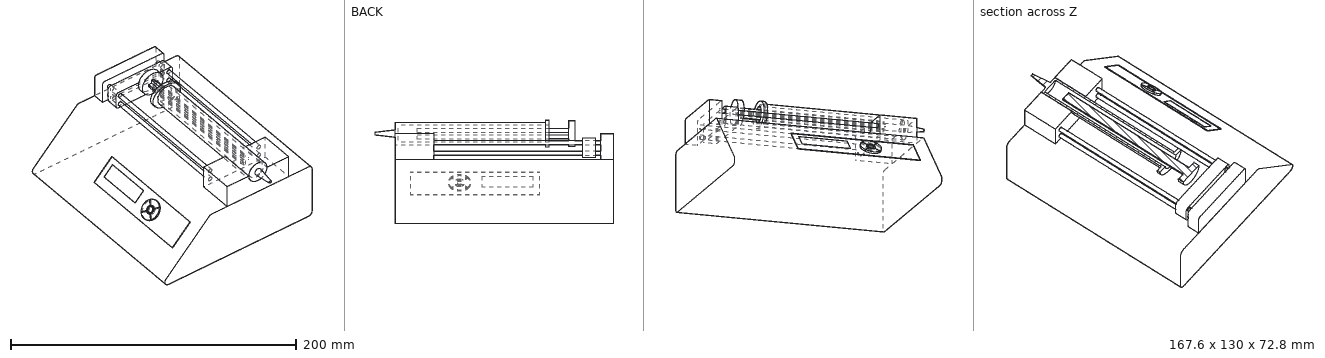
import cadquery as cq
import math


HOUSING_LENGTH = 153.4
HOUSING_DEPTH = 130.0
HOUSING_HEIGHT = 45.1
HOUSING_EDGE_RADIUS = 3.5
TOE_Y = -HOUSING_EDGE_RADIUS * math.sqrt(2)

PANEL_START = 52.0
PANEL_LENGTH = 90.5
PANEL_WIDTH = 22.1
PANEL_THICKNESS = 0.5
PANEL_CENTER_Z = 28.0
SCREEN_START = 56.7
SCREEN_LENGTH = 35.9
SCREEN_WIDTH = 10.5
SCREEN_RISE = 1.7
SCREEN_RECESS = 0.2
KEYPAD_X = 108.1
KEYPAD_DROP = 0.2
KEYPAD_DIAMETER = 15.5
KEYPAD_HEIGHT = 1.3
KEYPAD_HUB_DIAMETER = 6.4
KEYPAD_BUTTON_DIAMETER = 4.4
KEYPAD_GAP = 0.3
KEYPAD_GAP_ANGLES = (45, 135)

FRAME_TOP = 63.2
FRAME_HEIGHT = FRAME_TOP - HOUSING_HEIGHT
FRAME_WIDTH = 54.3
END_PLATE_LENGTH = 9.2
CLAMP_LENGTH = 27.2
CLAMP_START = HOUSING_LENGTH - CLAMP_LENGTH
BLOCK_EDGE_RADIUS = 2.0

AXIS_Y = 82.1
AXIS_Z = FRAME_TOP

CARRIAGE_START = 12.7
CARRIAGE_LENGTH = 9.2
CARRIAGE_WIDTH = 49.6
CARRIAGE_BOTTOM = 46.3
CARRIAGE_HEIGHT = 13.9

ROD_DIAMETER = 3.0
ROD_SPACING = 42.9
ROD_LEVELS = (49.5, 56.8)

OVERALL_LENGTH = 167.6
FLANGE_START = 45.3
FLANGE_THICKNESS = 2.7
FLANGE_WIDTH = 24.5
FLANGE_HEIGHT = 19.1
BARREL_DIAMETER = 16.0
BORE_DIAMETER = 12.0
BARREL_END_WALL = (BARREL_DIAMETER - BORE_DIAMETER) / 2
BORE_END = HOUSING_LENGTH - BARREL_END_WALL
TIP_BASE_DIAMETER = 5.4
TIP_END_DIAMETER = 2.0

THUMB_START = 27.2
THUMB_THICKNESS = 4.5
THUMB_END = THUMB_START + THUMB_THICKNESS
THUMB_DIAMETER = 18.3
STEM_WIDTH = 7.2
STEM_WEB = 1.8
STEM_END = BORE_END - (FLANGE_START - THUMB_END)


def block(x_start, length, width, z_bottom, height):
    """Rectangular block centred on the syringe axis in Y."""
    return (
        cq.Workplane("XY", origin=(x_start, AXIS_Y, z_bottom))
        .box(length, width, height, centered=(False, True, False))
    )


def section_plane(x, y=AXIS_Y, z=AXIS_Z):
    """Workplane across X, by default on the syringe axis."""
    return cq.Workplane("YZ", origin=(x, y, z))


def axis_cylinder(x_start, x_end, diameter):
    """Cylinder on the syringe axis."""
    return section_plane(x_start).circle(diameter / 2).extrude(x_end - x_start)


def slope_plane(offset=0.0):
    """Workplane parallel to the slope, with its X along the part and its Y up the slope."""
    plane = cq.Plane(
        origin=(0, TOE_Y + PANEL_CENTER_Z, PANEL_CENTER_Z), xDir=(1, 0, 0), normal=(0, -1, 1)
    )
    return cq.Workplane(plane).workplane(offset=offset)


def make_keypad():
    """Four arc-shaped keys around a round button, standing on the panel."""
    base = slope_plane(PANEL_THICKNESS).center(KEYPAD_X, -KEYPAD_DROP)
    keys = (
        base.circle(KEYPAD_DIAMETER / 2)
        .circle(KEYPAD_HUB_DIAMETER / 2)
        .extrude(KEYPAD_HEIGHT)
    )
    for angle in KEYPAD_GAP_ANGLES:
        gap = (
            base.transformed(rotate=(0, 0, angle))
            .rect(2 * KEYPAD_DIAMETER, KEYPAD_GAP)
            .extrude(KEYPAD_HEIGHT)
        )
        keys = keys.cut(gap)
    button = base.circle(KEYPAD_BUTTON_DIAMETER / 2).extrude(KEYPAD_HEIGHT)
    return keys.add(button)


def make_housing():
    outline = [
        (TOE_Y, 0),
        (HOUSING_DEPTH, 0),
        (HOUSING_DEPTH, HOUSING_HEIGHT),
        (TOE_Y + HOUSING_HEIGHT, HOUSING_HEIGHT),
    ]
    body = (
        cq.Workplane("YZ")
        .polyline(outline)
        .close()
        .extrude(HOUSING_LENGTH)
        .edges("|X")
        .fillet(HOUSING_EDGE_RADIUS)
    )
    panel = (
        slope_plane()
        .center(PANEL_START + PANEL_LENGTH / 2, 0)
        .rect(PANEL_LENGTH, PANEL_WIDTH)
        .extrude(PANEL_THICKNESS)
    )
    screen = (
        slope_plane(PANEL_THICKNESS)
        .center(SCREEN_START + SCREEN_LENGTH / 2, SCREEN_RISE)
        .rect(SCREEN_LENGTH, SCREEN_WIDTH)
        .extrude(-SCREEN_RECESS)
    )
    body = body.union(panel).cut(screen)
    for key in make_keypad().solids().vals():
        body = body.union(cq.Workplane(key))
    return body


def make_end_plate():
    plate = block(0, END_PLATE_LENGTH, FRAME_WIDTH, HOUSING_HEIGHT, FRAME_HEIGHT)
    return plate.edges("|X and >Z").fillet(BLOCK_EDGE_RADIUS)


def make_clamp_block():
    """Block with a half-round cradle for the lower half of the barrel."""
    clamp = block(CLAMP_START, CLAMP_LENGTH, FRAME_WIDTH, HOUSING_HEIGHT, FRAME_HEIGHT)
    return clamp.cut(axis_cylinder(CLAMP_START, HOUSING_LENGTH, BARREL_DIAMETER))


def make_rod(y, z):
    return (
        section_plane(END_PLATE_LENGTH, y, z)
        .circle(ROD_DIAMETER / 2)
        .extrude(CLAMP_START - END_PLATE_LENGTH)
    )


def make_carriage(guide_rods):
    """Rounded block with a through hole for each rod."""
    body = block(CARRIAGE_START, CARRIAGE_LENGTH, CARRIAGE_WIDTH, CARRIAGE_BOTTOM, CARRIAGE_HEIGHT)
    body = body.edges("|X").fillet(BLOCK_EDGE_RADIUS)
    for rod in guide_rods:
        body = body.cut(rod)
    return body


def make_barrel():
    """Hollow tube with an oval finger flange at one end and a tapered tip at the other."""
    flange = (
        section_plane(FLANGE_START)
        .ellipse(FLANGE_WIDTH / 2, FLANGE_HEIGHT / 2)
        .extrude(FLANGE_THICKNESS)
    )
    tube = axis_cylinder(FLANGE_START, HOUSING_LENGTH, BARREL_DIAMETER)
    tip = (
        section_plane(HOUSING_LENGTH)
        .circle(TIP_BASE_DIAMETER / 2)
        .workplane(offset=OVERALL_LENGTH - HOUSING_LENGTH)
        .circle(TIP_END_DIAMETER / 2)
        .loft()
    )
    bore = axis_cylinder(FLANGE_START, BORE_END, BORE_DIAMETER)
    return flange.union(tube).union(tip).cut(bore)


def make_plunger():
    """Thumb disc with a cross-shaped stem reaching into the bore."""
    body = axis_cylinder(THUMB_START, THUMB_END, THUMB_DIAMETER)
    for width, height in ((STEM_WIDTH, STEM_WEB), (STEM_WEB, STEM_WIDTH)):
        web = section_plane(THUMB_END).rect(width, height).extrude(STEM_END - THUMB_END)
        body = body.union(web)
    return body


housing = make_housing()
end_plate = make_end_plate()
clamp_block = make_clamp_block()
rods = []
for side in (-1, 1):
    for level in ROD_LEVELS:
        rods.append(make_rod(AXIS_Y + side * ROD_SPACING / 2, level))
carriage = make_carriage(rods)
barrel = make_barrel()
plunger = make_plunger()

result = cq.Compound.makeCompound(
    [
        housing.val(),
        end_plate.val(),
        clamp_block.val(),
        *[rod.val() for rod in rods],
        carriage.val(),
        barrel.val(),
        plunger.val(),
    ]
)